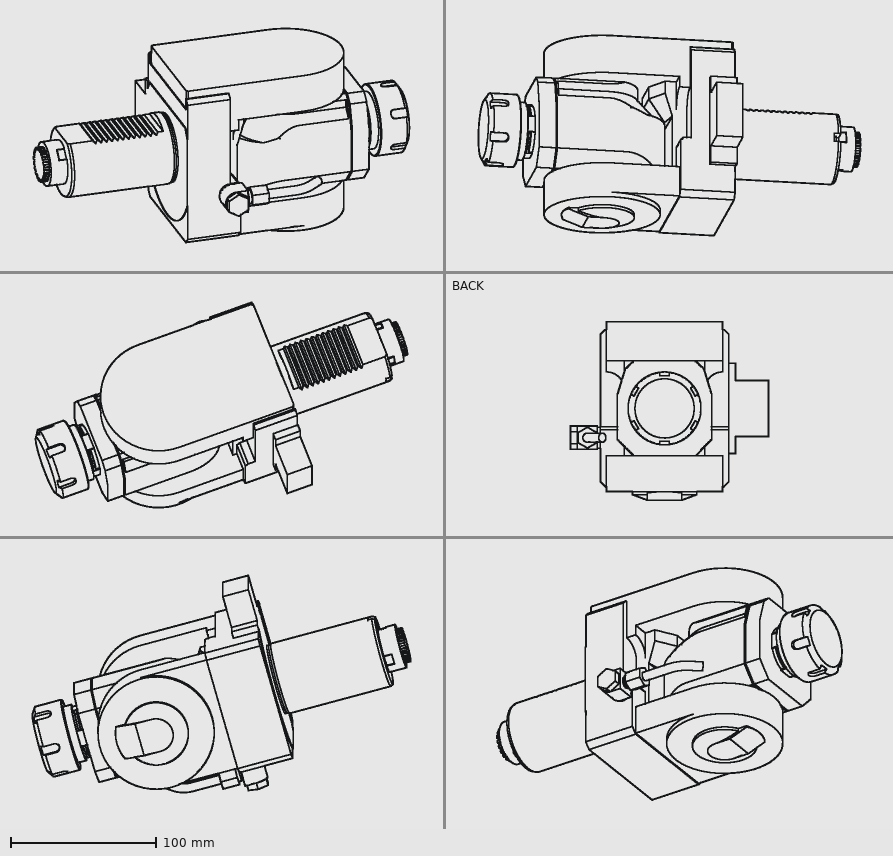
import cadquery as cq
import math


overall_length = 262

block_half_width = 44.3
block_top = 54.2
block_bottom = -54.7
block_depth = 31.5
block_top_chamfer = 3.1
block_bottom_chamfer = 4.2
foot_depth = 38.8
foot_top = -12.5
foot_chamfer = 2.0
face_radius = 51.0
face_height = 0.5
face_top = 32.0

pivot_y = 86.0
fork_radius = 40.0
gap_half_height = 32.7
upper_arm_top = 46.0
cover_top = 59.7
cover_front = 1.0
cover_corner_chamfer = 1.3
lower_arm_bottom = -54.0
pivot_disc_bottom = -57.4
wall_half_width = 27.8
wall_depth = 41.6
wall_fillet_bottom = 12.8
wall_fillet = fork_radius - wall_half_width
stop_shoulder_y = 46.5
stop_nose_y = 55.5
stop_nose_half_width = 13.0
stop_nose_root_y = 44.5

cap_radius = 22.3
cap_flat_radius = 11.8
cap_rim_bottom = -59.5
cap_bottom = -63.5
pointer_reach = 28.0

head_front = 135.7
head_half_width = 32.5
head_side_bottom = -21.5
head_side_top = 10.0
head_bottom_half_width = 21.5
head_corner_x = 27.2
head_corner_z = 27.2
head_top_half_width = 21.2
head_plate_back = 121.5
head_round_y = 75.0
head_ledge = 7.5
collar_radius = 24.5
collar_bottom = 24.0
flare_radius = 38.8
seam_y = 123.5
seam_width = 0.8
seam_depth = 0.5

neck_radius = 17.5
neck_front = 141.2
neck_groove_radius = 15.7
neck_groove_width = 1.5
neck_groove_start = 138.3
neck_flat_width = 11.3
sleeve_radius = 40.0 / 2
nut_back = 146.7
nut_front = 169.0
nut_radius = 25.1
nut_front_radius = 20.5
nut_bevel = 3.1
nut_chamfer = 0.5
nut_slot_count = 6
nut_slot_width = 6.3
nut_slot_length = 14.0
nut_slot_depth = 2.5

shank_radius = 50.0 / 2
shank_end = -77.0
relief_radius = 48.7 / 2
relief_end = -1.3
relief_bevel_end = -3.0
shank_end_chamfer = 1.8
shank_end_chamfer_height = 0.8
flat_height = 20.0
flat_start = -7.9
tooth_count = 12
tooth_depth = 1.5
first_tooth = -13.4
last_tooth = -57.4
tooth_pitch = (first_tooth - last_tooth) / (tooth_count - 1)
notch_width = 5.8
notch_depth = 4.7
notch_floor = 18.0
notch_step_depth = 2.4

coupling_radius = 15.5
coupling_end = -89.0
coupling_notch_count = 3
coupling_notch_width = 7.9
coupling_notch_length = 5.5
coupling_notch_depth = 1.3
coupling_notch_angle = 45
coupling_flat_width = 4.7
coupling_flat_angle = 101
spline_end = nut_front - overall_length
spline_root_radius = 10.7
spline_tip_radius = 12.0
spline_tooth_count = 20
spline_tooth_width = 1.7

key_plate_face = -49.0
key_plate_half_height = 31.2
key_depth = 18.3
key_end = -71.8
key_half_height = 19.5

fitting_y = 31.0
fitting_z = -20.2
fitting_neck_radius = 7.3
fitting_neck_end = 46.4
fitting_radius = 8.0
fitting_end = 60.2
plug_end = 65.0
pipe_x = 53.2
stem_radius = 8.0 / 2
stem_collar_radius = 9.7 / 2
stem_collar_start = 40.5
nut_start_y = 42.7
nut_end_y = 54.5
pipe_nut_diameter = 14.5
pipe_radius = 6.3 / 2
pipe_bend_start = 75.2
pipe_bend_radius = 21.0
pipe_bend_angle = 38
pipe_tail = 9.5


def box(x0, x1, y0, y1, z0, z1):
    """Box between two opposite corners."""
    return cq.Workplane("XY").box(x1 - x0, y1 - y0, z1 - z0, centered=False).translate((x0, y0, z0))


def rod_y(radius, y0, y1):
    """Cylinder on the Y axis."""
    return cq.Workplane("XZ", origin=(0, y0, 0)).circle(radius).extrude(y0 - y1)


def turned_y(points):
    """Solid of revolution about the Y axis from (radius, y) points."""
    return cq.Workplane("XY").polyline(points).close().revolve(360, (0, 0, 0), (0, 1, 0))


def turned_pivot(points):
    """Solid of revolution about the vertical pivot axis from (radius, z) points."""
    pivot_plane = cq.Workplane("XZ", origin=(0, pivot_y, 0))
    return pivot_plane.polyline(points).close().revolve(360, (0, 0, 0), (0, 1, 0))


def pivot_disc(radius, z0, z1):
    return cq.Workplane("XY", origin=(0, pivot_y, z0)).circle(radius).extrude(z1 - z0)


def fork_arm(y_front, z0, z1):
    """Arm with straight sides and a round end about the pivot."""
    straight = box(-fork_radius, fork_radius, y_front, pivot_y, z0, z1)
    return straight.union(pivot_disc(fork_radius, z0, z1))


def make_block():
    block = box(-block_half_width, block_half_width, face_height, block_depth, block_bottom, block_top)
    block = block.edges("|Y and >Z").chamfer(block_top_chamfer)
    foot = box(-block_half_width, block_half_width, face_height, foot_depth, block_bottom, foot_top)
    foot = foot.edges(">Y and >Z").chamfer(foot_chamfer)
    block = block.union(foot).edges("|Y and <Z").chamfer(block_bottom_chamfer)
    face = rod_y(face_radius, 0, face_height)
    face_limit = box(-block_half_width, block_half_width, 0, face_height, block_bottom, face_top)
    return block.union(face.intersect(face_limit))


def stop_plan(shoulder_y, nose_y):
    """Points of the stop outline: a flat nose between two slanted flanks."""
    return [
        (-wall_half_width, block_depth),
        (-wall_half_width, shoulder_y),
        (-stop_nose_half_width, nose_y),
        (stop_nose_half_width, nose_y),
        (wall_half_width, shoulder_y),
        (wall_half_width, block_depth),
    ]


def make_stop():
    """Nose on the fork wall behind the head, with its underside sloped back to the wall."""
    root_plan = stop_plan(wall_depth, stop_nose_root_y)
    nose_plan = stop_plan(stop_shoulder_y, stop_nose_y)
    slope = (
        cq.Workplane("XY", origin=(0, 0, head_ledge))
        .polyline(root_plan)
        .close()
        .workplane(offset=collar_bottom - head_ledge)
        .polyline(nose_plan)
        .close()
        .loft(ruled=True)
    )
    nose = cq.Workplane("XY", origin=(0, 0, collar_bottom)).polyline(nose_plan).close()
    return slope.union(nose.extrude(gap_half_height - collar_bottom))


def make_fork():
    upper_arm = fork_arm(block_depth, gap_half_height, upper_arm_top)
    lower_arm = fork_arm(block_depth, lower_arm_bottom, -gap_half_height)
    lower_arm = lower_arm.union(pivot_disc(fork_radius, pivot_disc_bottom, lower_arm_bottom))
    wall = box(-wall_half_width, wall_half_width, block_depth, wall_depth, -gap_half_height, head_ledge)
    root = box(-fork_radius, fork_radius, block_depth, foot_depth, foot_top, gap_half_height)

    for side in (-1, 1):
        relief = (
            cq.Workplane("XZ", origin=(0, block_depth, 0))
            .moveTo(side * wall_half_width, foot_top)
            .lineTo(side * wall_half_width, wall_fillet_bottom)
            .radiusArc((side * fork_radius, wall_fillet_bottom + wall_fillet), side * wall_fillet)
            .lineTo(side * fork_radius, foot_top)
            .close()
            .extrude(block_depth - foot_depth)
        )
        root = root.cut(relief)
    return upper_arm.union(lower_arm).union(wall).union(root).union(make_stop())


def make_cover():
    cover = fork_arm(cover_front, upper_arm_top, cover_top)
    return cover.edges("|Z and <Y").chamfer(cover_corner_chamfer)


def make_pivot_cap():
    cap = turned_pivot([
        (0, pivot_disc_bottom),
        (cap_radius, pivot_disc_bottom),
        (cap_radius, cap_rim_bottom),
        (cap_flat_radius, cap_bottom),
        (0, cap_bottom),
    ])
    pointer_outline = [
        (pivot_y, pivot_disc_bottom),
        (pivot_y + pointer_reach, pivot_disc_bottom),
        (pivot_y + cap_flat_radius, cap_bottom),
        (pivot_y, cap_bottom),
    ]
    pointer = cq.Workplane("YZ").polyline(pointer_outline).close().extrude(cap_flat_radius, both=True)
    pointer = pointer.intersect(pivot_disc(pointer_reach, cap_bottom, pivot_disc_bottom))
    return cap.union(pointer)


def make_head():
    right_side = [
        (head_bottom_half_width, -gap_half_height),
        (head_half_width, head_side_bottom),
        (head_half_width, head_side_top),
        (head_corner_x, head_corner_z),
        (head_top_half_width, gap_half_height),
    ]
    left_side = [(-x, z) for x, z in reversed(right_side)]
    outline = right_side + left_side
    length = head_front - head_round_y + head_half_width
    prism = cq.Workplane("XZ", origin=(0, head_front, 0)).polyline(outline).close().extrude(length)

    seam_plane = cq.Workplane("XZ", origin=(0, seam_y, 0))
    seam = seam_plane.polyline(outline).close().extrude(seam_width)
    seam_core = seam_plane.polyline(outline).close().offset2D(-seam_depth).extrude(seam_width)
    prism = prism.cut(seam.cut(seam_core))

    plan = box(-head_half_width, head_half_width, head_round_y, head_front, -gap_half_height, gap_half_height)
    round_back = cq.Workplane("XY", origin=(0, head_round_y, -gap_half_height)).circle(head_half_width)
    plan = plan.union(round_back.extrude(2 * gap_half_height))
    head = prism.intersect(plan)

    half_collar = [
        (0, head_ledge),
        (flare_radius, head_ledge),
        (collar_radius, collar_bottom),
        (collar_radius, gap_half_height),
        (0, gap_half_height),
    ]
    collar = turned_pivot(half_collar)
    run_plane = cq.Workplane("XZ", origin=(0, pivot_y, 0))
    run = run_plane.polyline(half_collar).close().extrude(pivot_y - head_plate_back)
    collar = collar.union(run).union(run.mirror("YZ"))
    waste = box(-flare_radius, flare_radius, 0, head_plate_back, head_ledge, gap_half_height)
    return head.cut(waste.cut(collar))


def make_chuck():
    neck = rod_y(neck_radius, head_front, neck_front)
    groove_end = neck_groove_start + neck_groove_width
    groove = rod_y(neck_radius, neck_groove_start, groove_end).cut(
        rod_y(neck_groove_radius, neck_groove_start, groove_end)
    )
    neck = neck.cut(groove)
    half_flat = neck_flat_width / 2
    neck = neck.union(box(-neck_radius, neck_radius, head_front, neck_front, -half_flat, half_flat))
    neck = neck.union(box(-half_flat, half_flat, head_front, neck_front, -neck_radius, neck_radius))

    sleeve = rod_y(sleeve_radius, neck_front, nut_back)
    nut = turned_y([
        (0, nut_back),
        (nut_radius - nut_chamfer, nut_back),
        (nut_radius, nut_back + nut_chamfer),
        (nut_radius, nut_front - nut_bevel),
        (nut_front_radius, nut_front),
        (0, nut_front),
    ])
    slot_floor = nut_radius - nut_slot_depth
    slot_round_y = nut_front - nut_slot_length + nut_slot_width / 2
    slot = box(-nut_slot_width / 2, nut_slot_width / 2, slot_round_y, nut_front, slot_floor, nut_radius)
    slot_end = cq.Workplane("XY", origin=(0, slot_round_y, slot_floor)).circle(nut_slot_width / 2)
    slot = slot.union(slot_end.extrude(nut_slot_depth))
    for i in range(nut_slot_count):
        nut = nut.cut(slot.rotate((0, 0, 0), (0, 1, 0), i * 360 / nut_slot_count))
    return neck.union(sleeve).union(nut)


def make_shank():
    shank = turned_y([
        (0, 0),
        (relief_radius, 0),
        (relief_radius, relief_end),
        (shank_radius, relief_bevel_end),
        (shank_radius, shank_end + shank_end_chamfer),
        (shank_radius - shank_end_chamfer_height, shank_end),
        (0, shank_end),
    ])
    shank = shank.cut(box(-shank_radius, shank_radius, shank_end, flat_start, flat_height, shank_radius))
    for i in range(tooth_count):
        y = first_tooth - i * tooth_pitch
        groove = cq.Workplane("YZ").polyline([
            (y - tooth_depth, flat_height),
            (y, flat_height - tooth_depth),
            (y + tooth_depth, flat_height),
        ])
        shank = shank.cut(groove.close().extrude(shank_radius, both=True))
    half_notch = notch_width / 2
    notch = box(-shank_radius, -notch_floor, shank_end, shank_end + notch_depth, -half_notch, half_notch)
    step_end = shank_end + notch_step_depth
    step = box(-notch_floor, -coupling_radius, shank_end, step_end, -half_notch, half_notch)
    return shank.cut(notch).cut(step)


def make_coupling():
    coupling = rod_y(coupling_radius, coupling_end, shank_end)
    notch = box(
        coupling_radius - coupling_notch_depth,
        coupling_radius,
        shank_end - coupling_notch_length,
        shank_end,
        -coupling_notch_width / 2,
        coupling_notch_width / 2,
    )
    for i in range(coupling_notch_count):
        angle = coupling_notch_angle + i * 360 / coupling_notch_count
        coupling = coupling.cut(notch.rotate((0, 0, 0), (0, 1, 0), -angle))

    half_flat = coupling_flat_width / 2
    flat_distance = math.sqrt(coupling_radius**2 - half_flat**2)
    flat = box(flat_distance, coupling_radius, coupling_end, shank_end, -half_flat, half_flat)
    coupling = coupling.cut(flat.rotate((0, 0, 0), (0, 1, 0), -coupling_flat_angle))

    spline = rod_y(spline_root_radius, spline_end, coupling_end)
    half_tooth = spline_tooth_width / 2
    tooth = box(0, spline_tip_radius, spline_end, coupling_end, -half_tooth, half_tooth)
    for i in range(spline_tooth_count):
        spline = spline.union(tooth.rotate((0, 0, 0), (0, 1, 0), i * 360 / spline_tooth_count))
    return coupling.union(spline)


def make_key():
    plate = box(
        key_plate_face, -block_half_width, 0, key_depth, -key_plate_half_height, key_plate_half_height
    )
    return plate.union(box(key_end, key_plate_face, 0, key_depth, -key_half_height, key_half_height))


def make_coolant_fitting():
    base = cq.Workplane("YZ", origin=(block_half_width, fitting_y, fitting_z))
    neck = base.circle(fitting_neck_radius).extrude(fitting_neck_end - block_half_width)
    body_plane = cq.Workplane("YZ", origin=(fitting_neck_end, fitting_y, fitting_z))
    body_length = fitting_end - fitting_neck_end
    body = body_plane.circle(fitting_radius).extrude(body_length)
    square_back = box(
        fitting_neck_end,
        fitting_end,
        fitting_y,
        fitting_y + fitting_radius,
        fitting_z - fitting_radius,
        fitting_z + fitting_radius,
    )
    plug = (
        cq.Workplane("YZ", origin=(fitting_end, fitting_y, fitting_z))
        .transformed(rotate=(0, 0, 90))
        .polygon(6, 2 * fitting_radius)
        .extrude(plug_end - fitting_end)
    )
    stem_plane = cq.Workplane("XZ", origin=(pipe_x, fitting_y, fitting_z))
    stem = stem_plane.circle(stem_radius).extrude(fitting_y - nut_start_y)
    collar_plane = cq.Workplane("XZ", origin=(pipe_x, stem_collar_start, fitting_z))
    stem = stem.union(collar_plane.circle(stem_collar_radius).extrude(stem_collar_start - nut_start_y))
    nut = (
        cq.Workplane("XZ", origin=(pipe_x, nut_start_y, fitting_z))
        .transformed(rotate=(0, 0, 90))
        .polygon(6, pipe_nut_diameter)
        .extrude(nut_start_y - nut_end_y)
    )

    bend = math.radians(pipe_bend_angle)
    half_bend = bend / 2
    bend_centre_x = pipe_x - pipe_bend_radius
    bend_middle = (
        bend_centre_x + pipe_bend_radius * math.cos(half_bend),
        pipe_bend_start + pipe_bend_radius * math.sin(half_bend),
    )
    bend_end = (
        bend_centre_x + pipe_bend_radius * math.cos(bend),
        pipe_bend_start + pipe_bend_radius * math.sin(bend),
    )
    tail_end = (bend_end[0] - pipe_tail * math.sin(bend), bend_end[1] + pipe_tail * math.cos(bend))
    path = (
        cq.Workplane("XY", origin=(0, 0, fitting_z))
        .moveTo(pipe_x, nut_end_y)
        .lineTo(pipe_x, pipe_bend_start)
        .threePointArc(bend_middle, bend_end)
        .lineTo(*tail_end)
    )
    pipe = cq.Workplane("XZ", origin=(pipe_x, nut_end_y, fitting_z)).circle(pipe_radius).sweep(path)
    return neck.union(body).union(square_back).union(plug).union(stem).union(nut).union(pipe)


cover_pocket = box(-fork_radius, fork_radius, 0, block_depth, upper_arm_top, block_top)

result = make_block().cut(cover_pocket)
for part in (
    make_fork(),
    make_cover(),
    make_pivot_cap(),
    make_head(),
    make_chuck(),
    make_shank(),
    make_coupling(),
    make_key(),
    make_coolant_fitting(),
):
    result = result.union(part)